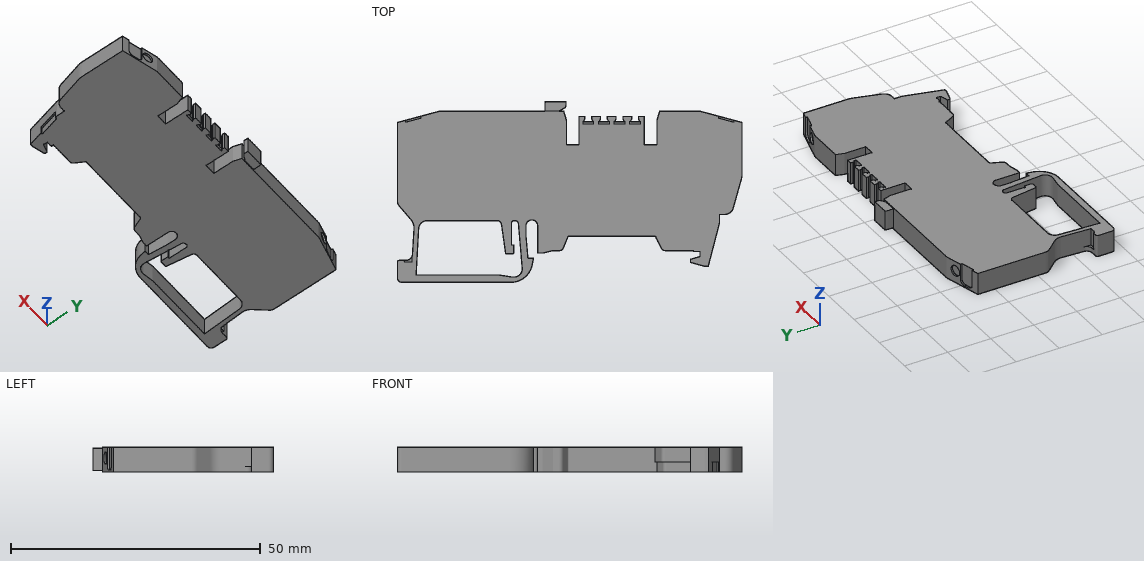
import cadquery as cq
import math

length = 69.1
height = 36.2
thickness = 5.0

shoulder_y = 34.3
end_top_y = 32.05
end_slope_length = 8.4
left_wall_bottom_y = 15.75
right_wall_bottom_y = 21.25
right_wall_radius = 4.0

comb_x = 42.95
comb_half_width = 6.55
slot_width = 2.5
slot_bottom_y = 27.6
slot_flare = 0.55
slot_flare_y = 32.5
comb_top_y = 33.25
comb_gap_count = 4
comb_pitch = 3.13
comb_gap_mouth = 1.35
comb_gap_base = 1.85
comb_gap_waist_y = 32.75
comb_gap_floor_y = 32.2
comb_groove_width = 2.2
comb_groove_bottom_y = 31.75
comb_groove_floor_z = 1.0

tab_left_x = 29.55
tab_right_x = 33.8
tab_base_right_x = 32.4
tab_nose_y = 35.1
tab_nose_radius = 0.5
tab_bottom_z = 0.3
tab_top_z = 4.8
tab_lead_in = 0.08
tab_lead_in_height = 0.55

arm_left_x = 3.4
arm_top_y = 11.8
arm_top_radius = 2.6
left_wall_radius = 1.5
foot_top_y = 4.45
foot_inner_x = 2.95
foot_corner_radius = 0.95
foot_top_radius = 0.4
bar_corner_x = 26.4
bar_corner_radius = 4.4
barb_tip_x = 27.3
barb_y = 4.85
barb_inner_x = 26.2
arm_slot_left_x = 25.8
arm_slot_right_x = 28.1
arm_slot_top_y = 12.5
arm_slot_radius = 1.14
arm_slot_straight_y = 9.4

window_top_y = 12.35
window_bottom_y = 1.5
window_low_x = 23.0
window_low_y = 1.1
window_low_radius = 1.0
window_right_radius = 1.6
window_left_radius = 1.65
arm_root_radius = 0.65
window_bottom_left_x = 3.8
window_top_left_x = 4.4
window_sag_x = 20.5
window_bottom_right_x = 25.15
window_top_right_x = 24.2
tongue_top_left_x = 20.75
tongue_bottom_left_x = 21.7
tongue_right_x = 22.9
tongue_lip_x = 23.35
tongue_lip_y = 7.55
tongue_bottom_y = 5.7
tongue_tip_radius = 0.3
tongue_inner_radius = 0.4
tongue_root_radius = 0.8

rail_half_width = 8.7
rail_corner_radius = 0.3
rail_y = 9.25
rail_left_flank = 1.2
rail_right_flank = 1.5
rail_foot_y = 6.35
rail_foot_radius = 0.9
left_foot_low_y = 5.85
left_foot_low_x = 29.1
left_foot_ramp_x = 31.2
pad_left_x = 59.3
pad_y = 6.15

hook_root_x = 60.6
hook_root_y = 5.2
hook_nose_x = 58.7
hook_nose_top_y = 4.65
hook_nose_bottom_y = 4.0
hook_nose_radius = 0.25
hook_tip_left_x = 61.6
hook_tip_right_x = 62.3
hook_tip_y = 3.2
hook_tip_radius = 1.2
hook_back_x = 64.55
hook_back_y = 11.85
chin_y = 13.6
chin_x = 66.95
chin_radius = 1.8

relief_height = 2.0
relief_depth = 0.35
back_relief_low_y = 6.6
back_relief_high_y = 11.2

notch_floor_z = 1.1
notch_left_x = 1.3
notch_depth = 0.4
notch_rise = 1.5
corner_fillet_radius = 1.25

entry_x = 3.15
entry_width = 3.2
entry_bottom_z = 0.4
entry_corner_radius = 1.0
probe_x = 6.1
probe_z = 2.8
probe_radius = 1.2
recess_depth = 0.4

overshoot = 1.0


def rounded_face(corners):
    """Closed wire from (x, y) or (x, y, radius) corners, radius rounding the corner."""
    stretches = []
    for i, corner in enumerate(corners):
        point = cq.Vector(corner[0], corner[1])
        if len(corner) == 2:
            stretches.append([point])
            continue
        before = corners[i - 1]
        after = corners[(i + 1) % len(corners)]
        to_before = (cq.Vector(before[0], before[1]) - point).normalized()
        to_after = (cq.Vector(after[0], after[1]) - point).normalized()
        half_angle = to_before.getAngle(to_after) / 2
        radius = corner[2]
        setback = radius / math.tan(half_angle)
        bisector = (to_before + to_after).normalized()
        middle = point + bisector * (radius / math.sin(half_angle) - radius)
        stretches.append([point + to_before * setback, middle, point + to_after * setback])
    outline = cq.Workplane("XY").moveTo(stretches[0][0].x, stretches[0][0].y)
    for i, stretch in enumerate(stretches):
        if i > 0:
            outline = outline.lineTo(stretch[0].x, stretch[0].y)
        if len(stretch) > 1:
            outline = outline.threePointArc(stretch[1].toTuple()[:2], stretch[2].toTuple()[:2])
    return outline.close()


def plate(corners, bottom_z=0.0, top_z=thickness):
    """Flat plate of the given outline between two Z levels."""
    return rounded_face(corners).extrude(top_z - bottom_z).translate((0, 0, bottom_z))


def housing():
    """Full-thickness body, before the window and the comb gaps are cut."""
    slot_inner = comb_half_width
    slot_outer = comb_half_width + slot_width
    slot_mouth = slot_outer + slot_flare
    left_foot = [
        (0, 0, foot_corner_radius),
        (bar_corner_x, 0, bar_corner_radius),
        (barb_tip_x, barb_y),
        (barb_inner_x, barb_y),
        (arm_slot_left_x, arm_slot_straight_y),
        (arm_slot_left_x, arm_slot_top_y, arm_slot_radius),
        (arm_slot_right_x, arm_slot_top_y, arm_slot_radius),
    ]
    underside = [
        (arm_slot_right_x, left_foot_low_y),
        (left_foot_low_x, left_foot_low_y),
        (left_foot_ramp_x, rail_foot_y),
        (comb_x - rail_half_width - rail_left_flank, rail_foot_y, rail_foot_radius),
        (comb_x - rail_half_width, rail_y, rail_corner_radius),
        (comb_x + rail_half_width, rail_y),
        (comb_x + rail_half_width + rail_right_flank, rail_foot_y, rail_foot_radius),
        (pad_left_x, rail_foot_y),
        (pad_left_x, pad_y),
    ]
    hook = [
        (hook_root_x, pad_y),
        (hook_root_x, hook_root_y),
        (hook_nose_x, hook_nose_top_y),
        (hook_nose_x, hook_nose_bottom_y, hook_nose_radius),
        (hook_tip_left_x, hook_tip_y, hook_tip_radius),
        (hook_tip_right_x, hook_tip_y),
        (hook_back_x, hook_back_y),
        (hook_back_x, chin_y),
        (chin_x, chin_y, chin_radius),
    ]
    upper_edge = [
        (length, right_wall_bottom_y, right_wall_radius),
        (length, end_top_y),
        (length - end_slope_length, shoulder_y),
        (comb_x + slot_mouth, shoulder_y),
        (comb_x + slot_outer, slot_flare_y),
        (comb_x + slot_outer, slot_bottom_y),
        (comb_x + slot_inner, slot_bottom_y),
        (comb_x + slot_inner, comb_top_y),
        (comb_x - slot_inner, comb_top_y),
        (comb_x - slot_inner, slot_bottom_y),
        (comb_x - slot_outer, slot_bottom_y),
        (comb_x - slot_outer, slot_flare_y),
        (comb_x - slot_mouth, shoulder_y),
        (end_slope_length, shoulder_y),
        (0, end_top_y),
    ]
    left_side = [
        (0, left_wall_bottom_y, left_wall_radius),
        (arm_left_x, arm_top_y, arm_top_radius),
        (foot_inner_x, foot_top_y, corner_fillet_radius),
        (0, foot_top_y, foot_top_radius),
    ]
    return plate(left_foot + underside + hook + upper_edge + left_side)


def foot_window():
    """Opening inside the left foot, leaving the tongue hanging from its top."""
    return plate([
        (window_bottom_left_x, window_bottom_y),
        (window_sag_x, window_bottom_y),
        (window_low_x, window_low_y, window_low_radius),
        (window_bottom_right_x, window_low_y, window_right_radius),
        (window_top_right_x, window_top_y, arm_root_radius),
        (tongue_right_x, window_top_y, tongue_inner_radius),
        (tongue_right_x, tongue_lip_y),
        (tongue_lip_x, tongue_lip_y),
        (tongue_lip_x, tongue_bottom_y, tongue_tip_radius),
        (tongue_bottom_left_x, tongue_bottom_y, tongue_tip_radius),
        (tongue_top_left_x, window_top_y, tongue_root_radius),
        (window_top_left_x, window_top_y, window_left_radius),
    ])


def comb_gap(x):
    """Gap between two marker teeth, with a groove along its floor in the upper layer."""
    half_mouth = comb_gap_mouth / 2
    half_base = comb_gap_base / 2
    half_groove = comb_groove_width / 2
    gap = plate([
        (x - half_base, comb_gap_floor_y),
        (x + half_base, comb_gap_floor_y),
        (x + half_mouth, comb_gap_waist_y),
        (x + half_mouth, comb_top_y + overshoot),
        (x - half_mouth, comb_top_y + overshoot),
        (x - half_mouth, comb_gap_waist_y),
    ])
    groove = plate([
        (x - half_groove, comb_groove_bottom_y),
        (x + half_groove, comb_groove_bottom_y),
        (x + half_groove, comb_gap_floor_y),
        (x - half_groove, comb_gap_floor_y),
    ], comb_groove_floor_z)
    return gap.union(groove)


def latch_tab():
    """Hooked tab standing on the upper edge, thinner than the housing."""
    return plate([
        (tab_left_x, shoulder_y - overshoot),
        (tab_base_right_x, shoulder_y - overshoot),
        (tab_base_right_x, shoulder_y),
        (tab_right_x, tab_nose_y, tab_nose_radius),
        (tab_right_x, height),
        (tab_left_x + tab_lead_in, height),
        (tab_left_x, height - tab_lead_in_height),
    ], tab_bottom_z, tab_top_z)


def recess_floor(x, z):
    """Workplane sunk below the left sloped end, parallel to it and centred at (x, z)."""
    slope = (shoulder_y - end_top_y) / end_slope_length
    surface = cq.Plane(
        origin=(x, end_top_y + slope * x, z),
        xDir=(1, slope, 0),
        normal=(-slope, 1, 0),
    )
    return cq.Workplane(surface).workplane(offset=-recess_depth)


def entry_recess():
    """Shallow recess with two rounded lower corners, open to the top face."""
    entry_top_z = thickness + overshoot + entry_corner_radius
    middle_z = (entry_bottom_z + entry_top_z) / 2
    floor = recess_floor(entry_x, middle_z)
    block = floor.rect(entry_width, entry_top_z - entry_bottom_z).extrude(recess_depth + overshoot)
    upright_edges = cq.selectors.ParallelDirSelector(floor.plane.zDir)
    return block.edges(upright_edges).fillet(entry_corner_radius)


def probe_recess():
    """Shallow round recess between the entry and the upper edge."""
    return recess_floor(probe_x, probe_z).circle(probe_radius).extrude(recess_depth + overshoot)


def rail_foot_relief():
    """Lower layer set back from the right foot's flank and sole."""
    flank_x = comb_x + rail_half_width
    foot_x = flank_x + rail_right_flank
    relieved_y = rail_foot_y + relief_depth
    return plate([
        (flank_x, rail_y),
        (flank_x, rail_foot_y - relief_depth),
        (pad_left_x, rail_foot_y - relief_depth),
        (pad_left_x, relieved_y),
        (foot_x + relief_depth, relieved_y, rail_foot_radius),
        (flank_x + relief_depth, rail_y),
    ], 0, relief_height)


def hook_back_relief():
    """Shallow pocket in the lower layer of the hook's slanted back."""
    lean = (hook_back_x - hook_tip_right_x) / (hook_back_y - hook_tip_y)
    low_x = hook_tip_right_x + lean * (back_relief_low_y - hook_tip_y)
    high_x = hook_tip_right_x + lean * (back_relief_high_y - hook_tip_y)
    return plate([
        (low_x - relief_depth, back_relief_low_y),
        (low_x + overshoot, back_relief_low_y),
        (high_x + overshoot, back_relief_high_y),
        (high_x - relief_depth, back_relief_high_y),
    ], 0, relief_height)


def foot_notch():
    """Undercut of the left foot's inner corner, above the filleted lower layer."""
    arm_lean = (arm_left_x - foot_inner_x) / (arm_top_y - foot_top_y)
    return plate([
        (notch_left_x, foot_top_y),
        (notch_left_x + notch_depth / 2, foot_top_y - notch_depth),
        (foot_inner_x, foot_top_y - notch_depth),
        (foot_inner_x, foot_top_y),
        (foot_inner_x + arm_lean * notch_rise, foot_top_y + notch_rise),
        (notch_left_x, foot_top_y + notch_rise),
    ], notch_floor_z)


result = housing().union(latch_tab()).cut(foot_window())

for i in range(comb_gap_count):
    gap_x = comb_x + (i - (comb_gap_count - 1) / 2) * comb_pitch
    result = result.cut(comb_gap(gap_x))

for recess in (entry_recess(), probe_recess()):
    result = result.cut(recess)
    result = result.cut(recess.mirror("YZ", (length / 2, 0, 0)))

result = result.cut(rail_foot_relief()).cut(hook_back_relief()).cut(foot_notch())